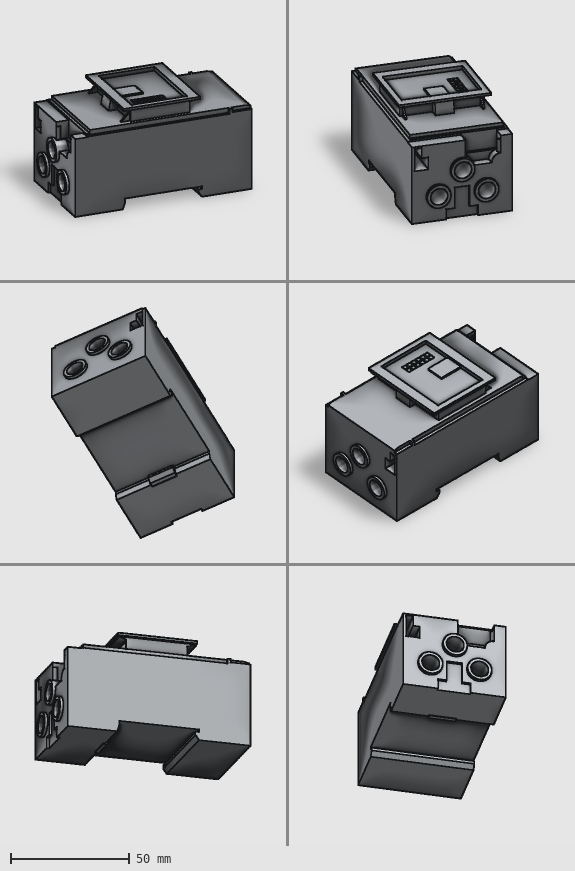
import cadquery as cq
import math


total_length = 84.0
housing_width = 44.8
housing_length = 81.2
half_width = housing_width / 2
half_length = housing_length / 2
front_face = -half_length
lid_top = 38.05
rear_bevel_drop = 0.6
rear_bevel_run = 2.4
front_deck_top = 35.6
front_deck_rear = -34.8
lid_front = -33.2
lid_step_top = 36.45

ledge_width = 1.6
long_ledge_top = 35.9
long_ledge_rear = 30.5
short_ledge_top = 36.45
short_ledge_front = 31.75

rail_half_width = 17.7
rail_top = 4.8
hook_top = 3.7
hook_reach = 1.6
hook_tip_top = 3.5
hook_tip_bottom = 2.2
front_relief_top = 2.85
front_relief_run = 1.0

latch_half_width = 5.9
latch_drop = 0.25
latch_front = -19.65
latch_recess_depth = 1.2
latch_stem_half_width = 3.4
latch_stem_top = 14.4
latch_foot_half_width = 7.1

bushing_spacing = 10.7
lower_bushing_z = 11.7
upper_bushing_z = 22.5
bushing_radius = 5.3
bore_radius = 3.8
bushing_centres = [
    (-bushing_spacing, lower_bushing_z),
    (0, upper_bushing_z),
    (bushing_spacing, lower_bushing_z),
]

window_left = -21.1
window_step_x = -18.1
window_right = -15.0
window_bottom = 24.4
window_step_z = 30.0
window_top = 34.8

pocket_left = 1.5
pocket_right = 17.3
pocket_floor = 27.55
well_left = 2.0
well_floor = 23.5
well_rear = -36.3
well_right = 13.3
well_round = 4.1
key_top = 33.5
key_length = 2.0
left_key_width = 0.5
right_key_width = 1.2

frame_rise = 7.05
frame_top = lid_top + frame_rise
frame_thickness = 1.1
frame_bottom = frame_top - frame_thickness
frame_half_width = 20.6
frame_half_length = 17.55
skirt_half_width = 18.9
skirt_half_length = 13.5
flare_bottom = 42.9
rear_flare_edge = 43.6
flare_half_length = 16.55
display_half_width = 17.8
display_half_length = 12.8
display_depth = 1.8
display_floor = frame_top - display_depth

fin_centre = 17.4
fin_thickness = 0.8
fin_top = 42.2
front_foot = -17.55
lug_half_width = 4.2
lug_slope_top = 43.7

button_rear = -1.7
button_slope = 1.4
button_rear_height = 0.5
button_height = 0.75
segment_size = 2.0
segment_rows = 6
segment_columns = 2
segment_row_pitch = 2.5
segment_column_pitch = 2.4
segment_centre_x = 10.8
segment_centre_y = -2.0
segment_depth = 0.1


def box(x_range, y_range, z_range):
    """Box spanning the given (low, high) range on each axis."""
    size = [high - low for low, high in (x_range, y_range, z_range)]
    return cq.Workplane("XY").box(*size, centered=False).translate((x_range[0], y_range[0], z_range[0]))


def side_prism(points, x_low, x_high):
    """Prism along X from an outline of (Y, Z) points."""
    return cq.Workplane("YZ", origin=(x_low, 0, 0)).polyline(points).close().extrude(x_high - x_low)


def front_prism(outline, y_low, y_high):
    """Prism along Y; outline draws a closed (X, Z) wire on the given workplane."""
    return outline(cq.Workplane("XZ", origin=(0, y_high, 0))).extrude(y_high - y_low)


def make_housing():
    profile = [
        (front_face, 0),
        (-rail_half_width - front_relief_run, 0),
        (-rail_half_width, front_relief_top),
        (-rail_half_width, rail_top),
        (rail_half_width, rail_top),
        (rail_half_width, hook_top),
        (rail_half_width - hook_reach, hook_tip_top),
        (rail_half_width - hook_reach, hook_tip_bottom),
        (rail_half_width, 0),
        (half_length, 0),
        (half_length, lid_top - rear_bevel_drop),
        (half_length - rear_bevel_run, lid_top),
        (lid_front, lid_top),
        (lid_front, lid_step_top),
        (front_deck_rear, lid_step_top),
        (front_deck_rear, front_deck_top),
        (front_face, front_deck_top),
    ]
    housing = side_prism(profile, -half_width, half_width)
    lid_edge = half_width - ledge_width
    for x_range in ((-half_width, -lid_edge), (lid_edge, half_width)):
        housing = housing.cut(box(x_range, (front_deck_rear, long_ledge_rear), (long_ledge_top, lid_top)))
        housing = housing.cut(box(x_range, (short_ledge_front, half_length), (short_ledge_top, lid_top)))
    return housing


def make_window():
    points = [
        (window_left, window_bottom),
        (window_right, window_bottom),
        (window_right, window_step_z),
        (window_step_x, window_step_z),
        (window_step_x, window_top),
        (window_left, window_top),
    ]
    return front_prism(lambda plane: plane.polyline(points).close(), front_face, half_length)


def make_key(wall_x, tip_x):
    """Upright wedge on a pocket wall, tapering to nothing at the front face."""
    key_rear = front_face + key_length
    return (
        cq.Workplane("XY", origin=(0, 0, pocket_floor))
        .polyline([(wall_x, front_face), (wall_x, key_rear), (tip_x, key_rear)])
        .close()
        .extrude(key_top - pocket_floor)
    )


def make_pocket():
    """Wide upper pocket with a deeper, round-shouldered well and two side keys left standing."""
    upper = box((pocket_left, pocket_right), (front_face, front_deck_rear), (pocket_floor, front_deck_top))

    round_centre_x = well_right + well_round
    end_angle = math.pi - math.asin((pocket_floor - well_floor) / well_round)
    middle_angle = (math.pi + end_angle) / 2

    def round_point(angle):
        x = round_centre_x + well_round * math.cos(angle)
        z = well_floor + well_round * math.sin(angle)
        return x, z

    def well_outline(plane):
        return (
            plane.moveTo(well_left, pocket_floor)
            .lineTo(well_left, well_floor)
            .lineTo(well_right, well_floor)
            .threePointArc(round_point(middle_angle), round_point(end_angle))
            .close()
        )

    well = front_prism(well_outline, front_face, well_rear)
    left_key = make_key(pocket_left, pocket_left + left_key_width)
    right_key = make_key(pocket_right, pocket_right - right_key_width)
    return upper.cut(left_key).cut(right_key).union(well)


def make_latch_recess():
    y_range = (front_face, front_face + latch_recess_depth)
    stem = box((-latch_stem_half_width, latch_stem_half_width), y_range, (0, latch_stem_top))
    foot = box((-latch_foot_half_width, latch_foot_half_width), y_range, (0, rail_top))
    return stem.union(foot)


def make_latch():
    profile = [
        (latch_front, -latch_drop),
        (-rail_half_width, -latch_drop),
        (hook_reach - rail_half_width, hook_tip_bottom - latch_drop),
        (hook_reach - rail_half_width, hook_tip_top),
        (-rail_half_width, hook_top),
        (latch_front, hook_top),
    ]
    return side_prism(profile, -latch_half_width, latch_half_width)


def make_bushings(radius):
    return (
        cq.Workplane("XZ", origin=(0, total_length / 2, 0))
        .pushPoints(bushing_centres)
        .circle(radius)
        .extrude(total_length)
    )


def make_frame():
    plate = box(
        (-frame_half_width, frame_half_width),
        (-frame_half_length, frame_half_length),
        (frame_bottom, frame_top),
    )
    skirt_profile = [
        (-skirt_half_length, lid_top),
        (skirt_half_length, lid_top),
        (skirt_half_length, flare_bottom),
        (frame_half_length, rear_flare_edge),
        (frame_half_length, frame_bottom),
        (-flare_half_length, frame_bottom),
        (-skirt_half_length, flare_bottom),
    ]
    frame = plate.union(side_prism(skirt_profile, -skirt_half_width, skirt_half_width))

    fin_profile = [
        (-skirt_half_length, lid_top),
        (front_foot, lid_top),
        (-skirt_half_length, fin_top),
    ]
    for x in (-fin_centre, fin_centre):
        frame = frame.union(side_prism(fin_profile, x - fin_thickness / 2, x + fin_thickness / 2))

    lug_profile = [
        (front_foot, lid_top),
        (flare_half_length, lid_top),
        (flare_half_length, frame_bottom),
        (-flare_half_length, frame_bottom),
        (-flare_half_length, lug_slope_top),
    ]
    frame = frame.union(side_prism(lug_profile, -lug_half_width, lug_half_width))

    display = box(
        (-display_half_width, display_half_width),
        (-display_half_length, display_half_length),
        (display_floor, frame_top),
    )
    return frame.cut(display)


def make_button():
    button_top = display_floor + button_height
    profile = [
        (button_rear, display_floor),
        (button_rear, display_floor + button_rear_height),
        (button_rear - button_slope, button_top),
        (-display_half_length, button_top),
        (-display_half_length, display_floor),
    ]
    return side_prism(profile, -lug_half_width, lug_half_width)


def make_segments():
    return (
        cq.Workplane("XY", origin=(segment_centre_x, segment_centre_y, display_floor))
        .rarray(segment_column_pitch, segment_row_pitch, segment_columns, segment_rows)
        .rect(segment_size, segment_size)
        .extrude(-segment_depth)
    )


housing = make_housing().cut(make_window()).cut(make_pocket()).cut(make_latch_recess())
housing = housing.union(make_latch())
housing = housing.union(make_bushings(bushing_radius)).cut(make_bushings(bore_radius))
display_frame = make_frame().union(make_button()).cut(make_segments())
result = housing.union(display_frame)